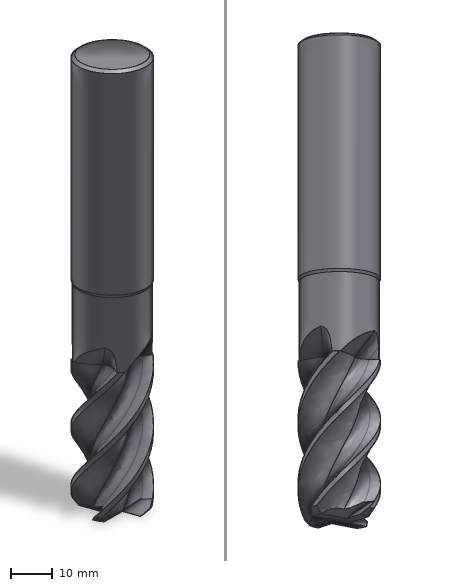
import cadquery as cq
import math

TOTAL_LENGTH = 120.0
CUT_LENGTH = 40.1
RADIUS = 10.02
NECK_RADIUS = 9.7
NECK_TOP = 60.0
NECK_CONE_HEIGHT = 0.7
TOP_CHAMFER_WIDTH = 1.0
TOP_CHAMFER_HEIGHT = 0.7

TOOTH_COUNT = 4
TOOTH_ANGLE = 360 / TOOTH_COUNT
HELIX_PITCH = 64.8
TWIST = 360 * CUT_LENGTH / HELIX_PITCH
LAND_ANGLE = 10.0
RAKE_RADIUS = 7.5
RAKE_LAG = 4.0
GUTTER_RADIUS = 5.3
GUTTER_LAG = 34.0
BACK_BULGE = 0.5
CORNER_CHAMFER = 1.7

GASH_INNER_OFFSET = 3.0
GASH_DEPTH = 3.6
GASH_RUN = 4.0
GASH_RAKE_WIDTH = GASH_DEPTH * 2 * math.pi * RADIUS / HELIX_PITCH

RUNOUT_SLOPE = 0.75
RUNOUT_HEIGHT = 12.0
CLEARANCE = 2.4


def polar(radius, degrees):
    angle = math.radians(degrees)
    return radius * math.cos(angle), radius * math.sin(angle)


def flute_side(outline, edge_angle):
    """Draw from the previous tooth's heel, through the gutter, to the cutting edge."""
    rake_end = polar(RAKE_RADIUS, edge_angle - RAKE_LAG)
    edge = polar(RADIUS, edge_angle)
    gutter = polar(GUTTER_RADIUS, edge_angle - GUTTER_LAG)
    outline = outline.sagittaArc(gutter, -BACK_BULGE)
    rake_turn = math.atan2(edge[1] - rake_end[1], edge[0] - rake_end[0])
    chord_x = rake_end[0] - gutter[0]
    chord_y = rake_end[1] - gutter[1]
    half_turn = math.atan2(chord_y, chord_x) - rake_turn
    half_turn = math.atan2(math.sin(half_turn), math.cos(half_turn))
    sagitta = math.hypot(chord_x, chord_y) / 2 * math.tan(half_turn / 2)
    outline = outline.sagittaArc(rake_end, sagitta)
    return outline.lineTo(*edge)


def make_teeth():
    """Helical toothed bar with four lands on the cutting diameter."""
    outline = cq.Workplane("XY").moveTo(*polar(RADIUS, LAND_ANGLE - TOOTH_ANGLE))
    for tooth in range(TOOTH_COUNT):
        edge_angle = tooth * TOOTH_ANGLE
        outline = flute_side(outline, edge_angle)
        outline = outline.threePointArc(
            polar(RADIUS, edge_angle + LAND_ANGLE / 2),
            polar(RADIUS, edge_angle + LAND_ANGLE),
        )
    return outline.close().twistExtrude(CUT_LENGTH, TWIST)


def make_end_gash():
    """Gash in front of the tooth whose edge lies along -Y."""
    reach = RADIUS + CLEARANCE
    floor = (
        cq.Workplane("YZ", origin=(-reach, 0, 0))
        .polyline([
            (-GASH_INNER_OFFSET, 0),
            (-GASH_INNER_OFFSET - GASH_RUN, GASH_DEPTH),
            (-reach, GASH_DEPTH),
            (-reach, 0),
        ])
        .close()
        .extrude(2 * reach)
    )
    tooth_side = (
        cq.Workplane("XZ")
        .polyline([(0, 0), (GASH_RAKE_WIDTH, GASH_DEPTH), (-reach, GASH_DEPTH), (-reach, 0)])
        .close()
        .extrude(reach)
    )
    return floor.intersect(tooth_side)


def make_corner_chamfer():
    """Conical ring that bevels the outer corner of every tooth."""
    overrun = CORNER_CHAMFER + CLEARANCE
    return (
        cq.Workplane("XZ")
        .polyline([
            (RADIUS - overrun, -CLEARANCE),
            (RADIUS + CLEARANCE, overrun),
            (RADIUS + CLEARANCE, -CLEARANCE),
        ])
        .close()
        .revolve(360, (0, 0, 0), (0, 1, 0))
    )


def make_cutter():
    cutter = make_teeth().cut(make_corner_chamfer())
    gash = make_end_gash()
    for tooth in range(TOOTH_COUNT):
        cutter = cutter.cut(gash.rotate((0, 0, 0), (0, 0, 1), tooth * TOOTH_ANGLE))
    return cutter


def make_runout(edge_angle):
    """Flute section carried on above the teeth, sloping out along the rake face."""
    outside = RADIUS + CLEARANCE
    heel_angle = edge_angle - TOOTH_ANGLE + LAND_ANGLE
    outline = cq.Workplane("XY", origin=(0, 0, CUT_LENGTH)).moveTo(*polar(RADIUS, heel_angle))
    outline = flute_side(outline, edge_angle)
    outline = outline.lineTo(*polar(outside, edge_angle))
    outline = outline.threePointArc(
        polar(outside, (edge_angle + heel_angle) / 2),
        polar(outside, heel_angle),
    )
    out_x, out_y = polar(RUNOUT_SLOPE * RUNOUT_HEIGHT, edge_angle)
    slope = cq.Vector(out_x, out_y, RUNOUT_HEIGHT)
    return cq.Solid.extrudeLinear(outline.close().val(), [], slope)


def make_shank():
    top_radius = RADIUS - TOP_CHAMFER_WIDTH
    shank = (
        cq.Workplane("XZ")
        .polyline([
            (0, CUT_LENGTH),
            (NECK_RADIUS, CUT_LENGTH),
            (NECK_RADIUS, NECK_TOP),
            (RADIUS, NECK_TOP + NECK_CONE_HEIGHT),
            (RADIUS, TOTAL_LENGTH - TOP_CHAMFER_HEIGHT),
            (top_radius, TOTAL_LENGTH),
            (0, TOTAL_LENGTH),
        ])
        .close()
        .revolve(360, (0, 0, 0), (0, 1, 0))
    )
    for tooth in range(TOOTH_COUNT):
        shank = shank.cut(cq.Workplane(obj=make_runout(TWIST + tooth * TOOTH_ANGLE)))
    return shank


cutter = make_cutter()
shank = make_shank()
result = cq.Compound.makeCompound([cutter.solids().val(), shank.solids().val()])